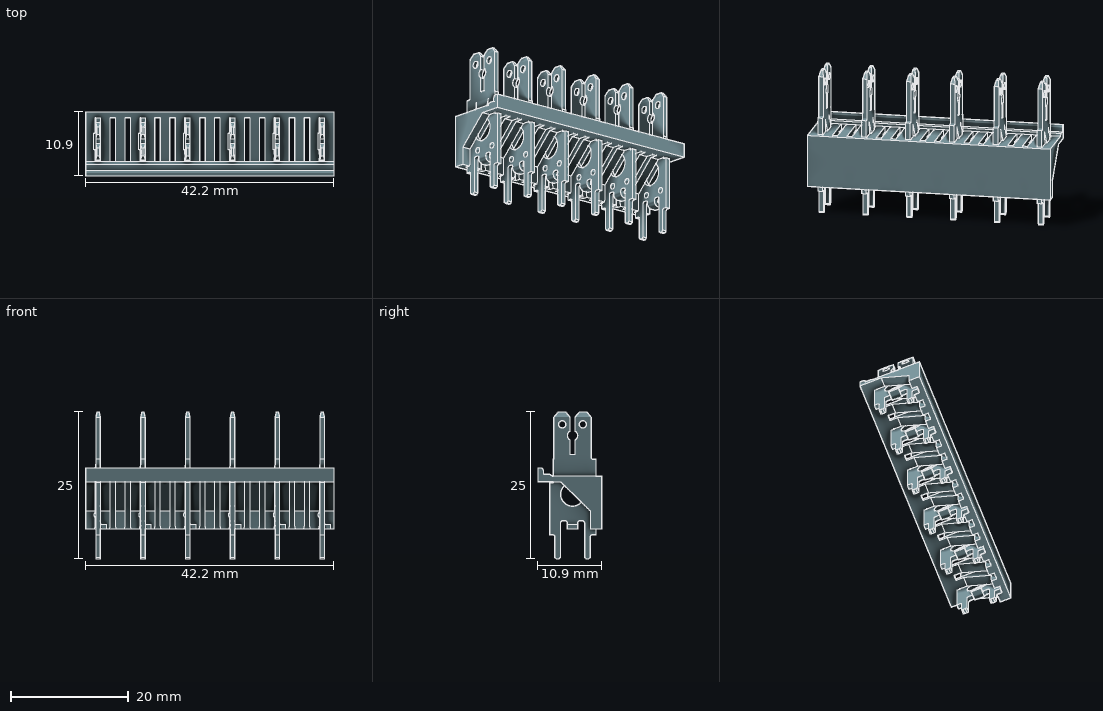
import cadquery as cq


STRIP_LENGTH = 42.22
HOUSING_HEIGHT = 9.0
REAR_Y = 5.0
HOUSING_DEPTH = 10.9
FRONT_Y = REAR_Y - HOUSING_DEPTH
WALL_THICKNESS = 1.95
DIAGONAL_START_Z = 3.05
DIAGONAL_END_Y = -2.0
FLANGE_BOTTOM_Z = 8.0
FLANGE_TOP_Z = 9.35
RAMP_START_Y = -3.4
RAMP_END_Y = -3.9
LIP_TOP_Z = 10.4
LIP_WIDTH = 0.98
LIP_RADIUS = 0.5

SLOT_PITCH = 2.54
SLOT_COUNT = 16
SLOT_WIDTH = 0.9
SLOT_REAR_Y = 4.0
SLOT_FRONT_Y = RAMP_START_Y
MOUTH_HEIGHT = 0.5
MOUTH_FLARE = 0.12

SLOTS_PER_CONTACT = 3
CONTACT_COUNT = 6
CONTACT_PITCH = SLOTS_PER_CONTACT * SLOT_PITCH
PLATE_THICKNESS = 0.8
CONTACT_BOTTOM_Z = -5.1
CONTACT_HEIGHT = 25.0
CONTACT_TOP_Z = CONTACT_BOTTOM_Z + CONTACT_HEIGHT

BLADE_WIDTH = 2.8
BLADE_GAP = 0.8
BLADE_CENTRE_Y = (BLADE_WIDTH + BLADE_GAP) / 2
BLADE_OUTER_Y = BLADE_GAP / 2 + BLADE_WIDTH
GAP_BOTTOM_Z = 12.7
GAP_RELIEF_DIAMETER = 1.7
GAP_RELIEF_Z = 15.9
BLADE_HOLE_DIAMETER = 1.2
BLADE_HOLE_SPACING = 3.5
BLADE_HOLE_Z = 17.8
TIP_HEIGHT = 0.9
TIP_SIDE_INSET = 0.75
TIP_END_THICKNESS = 0.4

SHOULDER_Z = 11.9
SHOULDER_RADIUS = 0.2
NECK_FRONT_Y = -3.3
BODY_FRONT_Y = -3.9
FLANGE_CLEARANCE = 0.12
BODY_TOP_Z = FLANGE_BOTTOM_Z - FLANGE_CLEARANCE
BODY_BOTTOM_Z = -1.0
BODY_HOLE_DIAMETER = 4.0
BODY_HOLE_Z = 5.9

LEG_SPACING = 5.08
LEG_WIDTH = 1.0
LEG_END_CHAMFER = 0.28
LEG_ROOT_RADIUS = 0.3
CROTCH_Z = 1.4
CROTCH_RADIUS = 0.4

FOOT_WIDTH = 1.8
FOOT_REACH = 1.0
FOOT_OUTER_RADIUS = 0.9
FOOT_INNER_RADIUS = FOOT_OUTER_RADIUS - PLATE_THICKNESS

LANCE_TOP_Z = 11.0
LANCE_TOP_WIDTH = 3.1
LANCE_BOTTOM_WIDTH = 2.75
LANCE_PROTRUSION = 0.35

BUMP_DIAMETER = 1.0
BUMP_HEIGHT = 0.3
BUMP_Z = 2.4
BUMP_YS = (1.15, -2.5)


def make_slot_mouth(slot_x):
    """Lead-in that widens the bottom of one slot."""
    top_half = SLOT_WIDTH / 2
    bottom_half = top_half + MOUTH_FLARE
    return (
        cq.Workplane("XZ", origin=(slot_x, SLOT_REAR_Y, 0))
        .moveTo(-bottom_half, 0)
        .lineTo(bottom_half, 0)
        .lineTo(top_half, MOUTH_HEIGHT)
        .lineTo(-top_half, MOUTH_HEIGHT)
        .close()
        .extrude(WALL_THICKNESS)
    )


def make_housing():
    """Constant cross-section extruded along X, cut by the row of slots."""
    wall_front_y = REAR_Y - WALL_THICKNESS
    lip_rear_y = FRONT_Y + LIP_WIDTH
    housing = (
        cq.Workplane("YZ", origin=(-STRIP_LENGTH / 2, 0, 0))
        .moveTo(REAR_Y, 0)
        .lineTo(REAR_Y, HOUSING_HEIGHT)
        .lineTo(RAMP_START_Y, HOUSING_HEIGHT)
        .lineTo(RAMP_END_Y, FLANGE_TOP_Z)
        .lineTo(lip_rear_y, FLANGE_TOP_Z)
        .lineTo(lip_rear_y, LIP_TOP_Z - LIP_RADIUS)
        .radiusArc((lip_rear_y - LIP_RADIUS, LIP_TOP_Z), -LIP_RADIUS)
        .lineTo(FRONT_Y, LIP_TOP_Z)
        .lineTo(FRONT_Y, FLANGE_BOTTOM_Z)
        .lineTo(DIAGONAL_END_Y, FLANGE_BOTTOM_Z)
        .lineTo(wall_front_y, DIAGONAL_START_Z)
        .lineTo(wall_front_y, 0)
        .close()
        .extrude(STRIP_LENGTH)
    )
    slots = (
        cq.Workplane("XY", origin=(0, (SLOT_REAR_Y + SLOT_FRONT_Y) / 2, 0))
        .rarray(SLOT_PITCH, 1, SLOT_COUNT, 1)
        .rect(SLOT_WIDTH, SLOT_REAR_Y - SLOT_FRONT_Y)
        .extrude(HOUSING_HEIGHT)
    )
    housing = housing.cut(slots)
    for index in range(SLOT_COUNT):
        slot_x = (index - (SLOT_COUNT - 1) / 2) * SLOT_PITCH
        housing = housing.cut(make_slot_mouth(slot_x))
    return housing


def plate_box(y_min, y_max, z_min, z_max):
    """Rectangular piece of the contact plate, centred on X = 0."""
    return (
        cq.Workplane("YZ", origin=(-PLATE_THICKNESS / 2, 0, 0))
        .center((y_min + y_max) / 2, (z_min + z_max) / 2)
        .rect(y_max - y_min, z_max - z_min)
        .extrude(PLATE_THICKNESS)
    )


def cross_hole(diameter, y, z):
    """Cylinder along X for a hole through the contact plate."""
    return cq.Workplane("YZ").center(y, z).circle(diameter / 2).extrude(PLATE_THICKNESS, both=True)


def edge_near(y, z):
    """Selector for the edge along X that passes through (y, z)."""
    reach = 0.05
    return cq.selectors.BoxSelector(
        (-reach, y - reach, z - reach),
        (reach, y + reach, z + reach),
    )


def make_tip(centre_y):
    """Tapered end of one blade."""
    return (
        cq.Workplane("XY", origin=(0, centre_y, CONTACT_TOP_Z - TIP_HEIGHT))
        .rect(PLATE_THICKNESS, BLADE_WIDTH)
        .workplane(offset=TIP_HEIGHT)
        .rect(TIP_END_THICKNESS, BLADE_WIDTH - 2 * TIP_SIDE_INSET)
        .loft(ruled=True)
    )


def make_blades():
    """Neck and the two upper blades, parted by a gap with a round relief."""
    blade_end_z = CONTACT_TOP_Z - TIP_HEIGHT
    blades = plate_box(NECK_FRONT_Y, SLOT_REAR_Y, BODY_TOP_Z, SHOULDER_Z)
    blades = blades.union(plate_box(-BLADE_OUTER_Y, BLADE_OUTER_Y, SHOULDER_Z, blade_end_z))
    blades = blades.edges(edge_near(BLADE_OUTER_Y, SHOULDER_Z)).fillet(SHOULDER_RADIUS)
    blades = blades.cut(plate_box(-BLADE_GAP / 2, BLADE_GAP / 2, GAP_BOTTOM_Z, blade_end_z))
    blades = blades.cut(cross_hole(GAP_RELIEF_DIAMETER, 0, GAP_RELIEF_Z))
    for side in (-1, 1):
        blades = blades.union(make_tip(side * BLADE_CENTRE_Y))
        blades = blades.cut(cross_hole(BLADE_HOLE_DIAMETER, side * BLADE_HOLE_SPACING / 2, BLADE_HOLE_Z))
    return blades


def make_body():
    """Wide lower part of the plate with its crotch notches and two solder legs."""
    leg_inner_y = (LEG_SPACING - LEG_WIDTH) / 2
    notch_width = leg_inner_y - FOOT_WIDTH / 2
    body = plate_box(BODY_FRONT_Y, SLOT_REAR_Y, BODY_BOTTOM_Z, BODY_TOP_Z)
    for side in (-1, 1):
        leg_y = side * LEG_SPACING / 2
        leg = plate_box(leg_y - LEG_WIDTH / 2, leg_y + LEG_WIDTH / 2, CONTACT_BOTTOM_Z, BODY_BOTTOM_Z)
        body = body.union(leg.edges("|X and <Z").chamfer(LEG_END_CHAMFER))
        root_y = side * (LEG_SPACING + LEG_WIDTH) / 2
        body = body.edges(edge_near(root_y, BODY_BOTTOM_Z)).fillet(LEG_ROOT_RADIUS)
    body = body.cut(plate_box(-leg_inner_y, leg_inner_y, BODY_BOTTOM_Z, FOOT_OUTER_RADIUS))
    for side in (-1, 1):
        notch_y = side * (leg_inner_y + FOOT_WIDTH / 2) / 2
        notch = plate_box(notch_y - notch_width / 2, notch_y + notch_width / 2, BODY_BOTTOM_Z, CROTCH_Z)
        body = body.cut(notch.edges("|X and >Z").fillet(CROTCH_RADIUS))
    return body.cut(cross_hole(BODY_HOLE_DIAMETER, 0, BODY_HOLE_Z))


def make_foot():
    """Tab between the legs, bent from the plate towards +X."""
    outer_x = -PLATE_THICKNESS / 2
    inner_x = PLATE_THICKNESS / 2
    end_x = inner_x + FOOT_REACH
    return (
        cq.Workplane("XZ", origin=(0, FOOT_WIDTH / 2, 0))
        .moveTo(outer_x, FOOT_OUTER_RADIUS)
        .radiusArc((outer_x + FOOT_OUTER_RADIUS, 0), -FOOT_OUTER_RADIUS)
        .lineTo(end_x, 0)
        .lineTo(end_x, PLATE_THICKNESS)
        .lineTo(inner_x + FOOT_INNER_RADIUS, PLATE_THICKNESS)
        .radiusArc((inner_x, FOOT_OUTER_RADIUS), FOOT_INNER_RADIUS)
        .close()
        .extrude(FOOT_WIDTH)
    )


def make_lance():
    """Stop wedge on the -X face, growing thicker and narrower towards the housing top."""
    face_x = -PLATE_THICKNESS / 2
    wedge = (
        cq.Workplane("XZ", origin=(0, LANCE_TOP_WIDTH / 2, 0))
        .moveTo(face_x, LANCE_TOP_Z)
        .lineTo(face_x, HOUSING_HEIGHT)
        .lineTo(face_x - LANCE_PROTRUSION, HOUSING_HEIGHT)
        .close()
        .extrude(LANCE_TOP_WIDTH)
    )
    tapered_outline = (
        cq.Workplane("YZ", origin=(face_x - LANCE_PROTRUSION, 0, 0))
        .moveTo(-LANCE_TOP_WIDTH / 2, LANCE_TOP_Z)
        .lineTo(LANCE_TOP_WIDTH / 2, LANCE_TOP_Z)
        .lineTo(LANCE_BOTTOM_WIDTH / 2, HOUSING_HEIGHT)
        .lineTo(-LANCE_BOTTOM_WIDTH / 2, HOUSING_HEIGHT)
        .close()
        .extrude(LANCE_PROTRUSION)
    )
    return wedge.intersect(tapered_outline)


def make_bump(y):
    """Spherical cap raised on the -X face of the plate."""
    base_radius = BUMP_DIAMETER / 2
    sphere_radius = (base_radius ** 2 + BUMP_HEIGHT ** 2) / (2 * BUMP_HEIGHT)
    return (
        cq.Workplane("XY", origin=(-PLATE_THICKNESS / 2, y, BUMP_Z))
        .moveTo(0, 0)
        .lineTo(0, base_radius)
        .radiusArc((-BUMP_HEIGHT, 0), -sphere_radius)
        .close()
        .revolve(360, (0, 0, 0), (1, 0, 0))
    )


def make_contact():
    """One complete contact with its plate centred on X = 0."""
    contact = make_body().union(make_blades()).union(make_foot()).union(make_lance())
    for y in BUMP_YS:
        contact = contact.union(make_bump(y))
    return contact.clean()


result = make_housing()
contact = make_contact()
contact_offset = (SLOT_WIDTH - PLATE_THICKNESS) / 2
for index in range(CONTACT_COUNT):
    contact_x = (index - (CONTACT_COUNT - 1) / 2) * CONTACT_PITCH + contact_offset
    result = result.union(contact.translate((contact_x, 0, 0)))